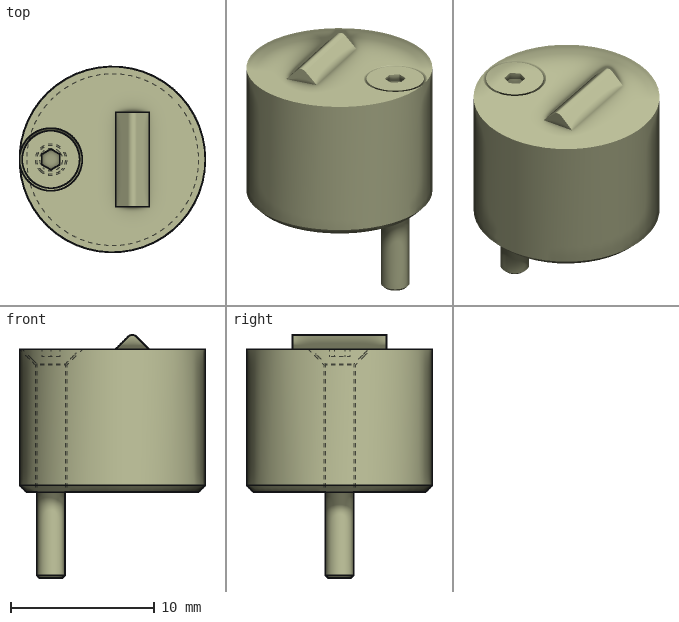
import cadquery as cq
import math

total_height = 17.0
housing_diameter = 13.0
housing_height = 10.0
housing_chamfer = 0.5

ridge_height = 1.0
ridge_length = 6.6
ridge_x = 1.4
crest_radius = 0.4

screw_x = -4.3
head_radius = 2.0
shank_radius = 1.0
tip_chamfer = 0.2
hex_flats = 1.25
hex_depth = 0.5

countersink_radius = 2.2
hole_radius = 1.1

housing_top = total_height - ridge_height
housing_bottom = housing_top - housing_height


def revolve_at_screw(profile):
    """Revolve a radius-height outline about the screw axis."""
    solid = cq.Workplane("XZ").polyline(profile).close().revolve(360, (0, 0, 0), (0, 1, 0))
    return solid.translate((screw_x, 0, 0))


def make_housing():
    body = cq.Workplane("XY").workplane(offset=housing_bottom).circle(housing_diameter / 2)
    body = body.extrude(housing_height).faces("<Z").edges().chamfer(housing_chamfer)
    countersink_depth = countersink_radius - hole_radius
    hole = revolve_at_screw([
        (0, housing_bottom),
        (hole_radius, housing_bottom),
        (hole_radius, housing_top - countersink_depth),
        (countersink_radius, housing_top),
        (0, housing_top),
    ])
    return body.cut(hole)


def make_screw():
    head_depth = head_radius - shank_radius
    body = revolve_at_screw([
        (0, 0),
        (shank_radius - tip_chamfer, 0),
        (shank_radius, tip_chamfer),
        (shank_radius, housing_top - head_depth),
        (head_radius, housing_top),
        (0, housing_top),
    ])
    hex_corners = hex_flats / math.cos(math.pi / 6)
    socket = (
        cq.Workplane("XY")
        .polygon(6, hex_corners)
        .extrude(hex_depth)
        .rotate((0, 0, 0), (0, 0, 1), 30)
        .translate((screw_x, 0, housing_top - hex_depth))
    )
    return body.cut(socket)


def make_ridge():
    diagonal = crest_radius / math.sqrt(2)
    crest_center_z = total_height - crest_radius
    tangent_z = crest_center_z + diagonal
    half_width = diagonal + tangent_z - housing_top
    return (
        cq.Workplane("XZ")
        .moveTo(ridge_x - half_width, housing_top)
        .lineTo(ridge_x - diagonal, tangent_z)
        .threePointArc((ridge_x, total_height), (ridge_x + diagonal, tangent_z))
        .lineTo(ridge_x + half_width, housing_top)
        .close()
        .extrude(ridge_length / 2, both=True)
    )


housing = make_housing()
screw = make_screw()
ridge = make_ridge()

result = cq.Compound.makeCompound([housing.val(), screw.val(), ridge.val()])